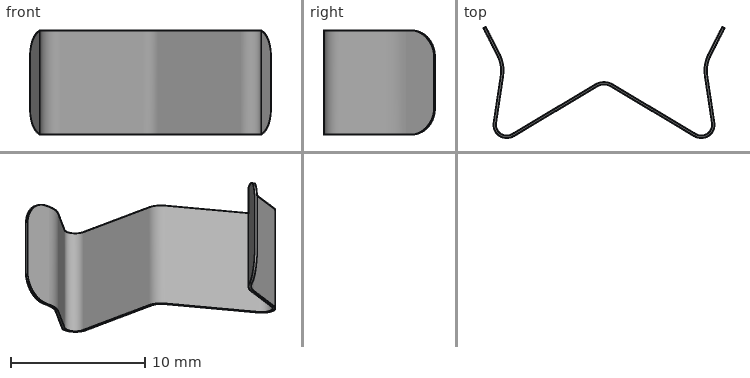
import cadquery as cq
import math

thickness = 0.2
strip_width = 7.8
end_corner_radius = 2.0

crest_radius = 1.1
foot_radius = 0.9
neck_radius = 2.54

leg_length = 7.25
side_length = 3.56
tab_length = 2.32

leg_heading = -30.8
side_heading = 98.6
tab_heading = 63.0

crest_top = 4.23


def move(point, heading, distance):
    angle = math.radians(heading)
    return (point[0] + distance * math.cos(angle), point[1] + distance * math.sin(angle))


def bend_point(center, heading, radius, turn, offset):
    """Point on a bend; turn is +1 for left, and offset is positive to the left of travel."""
    return move(center, heading + 90, offset - turn * radius)


def half_strip():
    """Right half of the bent strip, from the crest to the end of the tab."""
    bends = [
        (crest_radius, 0, leg_heading, leg_length),
        (foot_radius, leg_heading, side_heading, side_length),
        (neck_radius, side_heading, tab_heading, tab_length),
    ]
    half_thickness = thickness / 2
    position = (0, crest_top - half_thickness)
    left_points = [move(position, 90, half_thickness)]
    right_points = [move(position, -90, half_thickness)]
    for radius, start, finish, straight in bends:
        turn = math.copysign(1, finish - start)
        center = move(position, start + 90, turn * radius)
        for heading in ((start + finish) / 2, finish):
            left_points.append(bend_point(center, heading, radius, turn, half_thickness))
            right_points.append(bend_point(center, heading, radius, turn, -half_thickness))
        position = move(bend_point(center, finish, radius, turn, 0), finish, straight)
        left_points.append(move(position, finish + 90, half_thickness))
        right_points.append(move(position, finish - 90, half_thickness))

    outline = draw_side(cq.Workplane("XY").moveTo(*right_points[0]), right_points)
    outline = draw_returning_side(outline.lineTo(*left_points[-1]), left_points)
    strip = outline.close().extrude(strip_width)
    return round_end(strip, position)


def draw_side(outline, points):
    """Draw bends and straights from the crest to the tab, three points per pair."""
    for index in range(1, len(points), 3):
        bend_middle, bend_end, straight_end = points[index:index + 3]
        outline = outline.threePointArc(bend_middle, bend_end).lineTo(*straight_end)
    return outline


def draw_returning_side(outline, points):
    """Draw straights and bends from the tab back to the crest."""
    for index in range(len(points) - 1, 0, -3):
        bend_start, bend_middle, bend_end = points[index - 3:index]
        outline = outline.lineTo(*bend_end).threePointArc(bend_middle, bend_start)
    return outline


def round_end(strip, tip):
    """Round the two corners at the free end of the tab."""
    end_edges = cq.selectors.BoxSelector(
        (tip[0] - thickness, tip[1] - thickness, -thickness),
        (tip[0] + thickness, tip[1] + thickness, strip_width + thickness),
    )
    return strip.edges(end_edges).edges("#Z").fillet(end_corner_radius)


right_half = half_strip()
result = right_half.union(right_half.mirror("YZ")).clean()